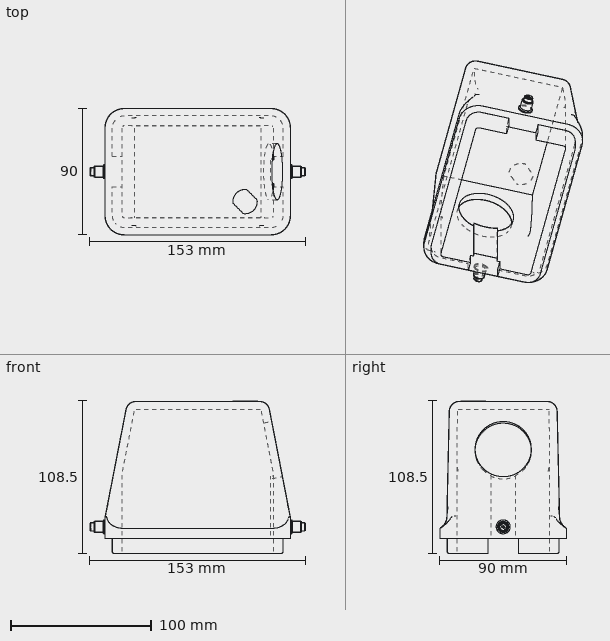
import cadquery as cq
import math

OVERALL_LENGTH = 153.0
PIN_TIP_X = OVERALL_LENGTH / 2
HOOD_TOP = 108.2

TOP_LENGTH = 99.8
TOP_WIDTH = 76.5
END_TAPER = 11.0
SIDE_TAPER = 1.3
HOOD_ROUND = 7.3

FLANGE_LENGTH = 131.9
FLANGE_WIDTH = 90.0
FLANGE_BOTTOM = 10.5
FLANGE_CORNER = 13.9
COVE_FLOOR = 16.8
COVE_RADIUS = 9.0
FOOT_TOLERANCE = 0.2

SKIRT_LENGTH = 121.5
SKIRT_WIDTH = 79.5
SKIRT_CORNER = 9.0
SKIRT_BOTTOM_ROUND = 1.4
SLOT_WIDTH = 21.4

WALL = 6.0
SKIRT_WALL = 6.9
RIB_WIDTH = 17.1
RIB_DEPTH = 2.3
RIB_TOP = 58.1

ENTRY_DIAMETER = 40.0
ENTRY_Z = 74.2

PIN_Z = 19.0
COLLAR_DIAMETER = 10.0
COLLAR_LENGTH = 0.8
COLLAR_CONE = 0.6
SHANK_DIAMETER = 8.0
SHANK_END_DIAMETER = 7.3
SHANK_BEVEL = 0.6
TIP_DIAMETER = 6.0
TIP_LENGTH = 2.9
TIP_CHAMFER = 0.5
DRIVER_SLOT_WIDTH = 1.0
DRIVER_SLOT_DEPTH = 0.8

BADGE_X = 33.7
BADGE_Y = -21.3
BADGE_DIAMETER = 17.3
BADGE_LENGTH = 13.8
BADGE_HEIGHT = 0.3

DIAGONAL = 45.0

END_SLOPE = math.tan(math.radians(END_TAPER))
SIDE_SLOPE = math.tan(math.radians(SIDE_TAPER))


def rounded_prism(length, width, corner, bottom, top):
    """Upright block with rounded vertical corners."""
    block = cq.Workplane("XY").workplane(offset=bottom).rect(length, width).extrude(top - bottom)
    return block.edges("|Z").fillet(corner)


def tapered_block(inset, bottom, top):
    """Four-sided hood shape between two levels, with its walls moved inward by inset."""
    def size_at(z):
        drop = HOOD_TOP - z
        length = TOP_LENGTH + 2 * (drop * END_SLOPE - inset / math.cos(math.radians(END_TAPER)))
        width = TOP_WIDTH + 2 * (drop * SIDE_SLOPE - inset / math.cos(math.radians(SIDE_TAPER)))
        return length, width

    return (
        cq.Workplane("XY").workplane(offset=bottom).rect(*size_at(bottom))
        .workplane(offset=top - bottom).rect(*size_at(top))
        .loft(ruled=True, combine=True)
    )


def make_hood():
    """Rounded hood flowing through a cove into the flange band."""
    hood = tapered_block(0, FLANGE_BOTTOM, HOOD_TOP)
    hood = hood.edges("not <Z").fillet(HOOD_ROUND)

    slab = cq.Workplane("XY").box(
        2 * FLANGE_LENGTH, 2 * FLANGE_WIDTH, COVE_FLOOR - FLANGE_BOTTOM, centered=(True, True, False)
    ).translate((0, 0, FLANGE_BOTTOM))
    joined = hood.union(slab)
    reach = (OVERALL_LENGTH / 2, FLANGE_WIDTH / 2)
    foot = cq.selectors.BoxSelector(
        (-reach[0], -reach[1], COVE_FLOOR - FOOT_TOLERANCE),
        (reach[0], reach[1], COVE_FLOOR + FOOT_TOLERANCE),
        boundingbox=True,
    )
    joined = joined.edges(foot).fillet(COVE_RADIUS)
    outline = rounded_prism(FLANGE_LENGTH, FLANGE_WIDTH, FLANGE_CORNER, FLANGE_BOTTOM, HOOD_TOP)
    return joined.intersect(outline)


def make_skirt():
    """Plug skirt with a rounded bottom rim."""
    skirt = rounded_prism(SKIRT_LENGTH, SKIRT_WIDTH, SKIRT_CORNER, 0, FLANGE_BOTTOM)
    return skirt.faces("<Z").edges().fillet(SKIRT_BOTTOM_ROUND)


def make_cavity():
    """Interior that is straight at the mouth and follows the tapered walls above."""
    cavity_top = HOOD_TOP - WALL
    mouth_length = SKIRT_LENGTH - 2 * SKIRT_WALL
    mouth_width = SKIRT_WIDTH - 2 * SKIRT_WALL
    mouth = rounded_prism(mouth_length, mouth_width, SKIRT_CORNER - SKIRT_WALL, 0, cavity_top)
    rib = cq.Workplane("XY").box(
        2 * RIB_DEPTH, RIB_WIDTH, RIB_TOP - FLANGE_BOTTOM, centered=(True, True, False)
    ).translate((mouth_length / 2, 0, FLANGE_BOTTOM))
    return mouth.intersect(tapered_block(WALL, 0, cavity_top)).cut(rib)


def make_end_slots():
    """Slot cut through both ends of the skirt, up to the flange."""
    return cq.Workplane("XY").box(SKIRT_LENGTH, SLOT_WIDTH, FLANGE_BOTTOM, centered=(True, True, False))


def make_cable_entry():
    """Bore through the +X end wall, square to its slope."""
    wall_x = TOP_LENGTH / 2 + (HOOD_TOP - ENTRY_Z) * END_SLOPE
    tilt = math.radians(END_TAPER)
    outward = cq.Vector(math.cos(tilt), 0, math.sin(tilt))
    reach = 3 * WALL
    start = cq.Vector(wall_x, 0, ENTRY_Z) - outward * reach
    return cq.Workplane(cq.Solid.makeCylinder(ENTRY_DIAMETER / 2, 2 * reach, start, outward))


def make_pin():
    """Stepped pin standing on the +X face of the flange, with a diagonal driver slot."""
    root = FLANGE_LENGTH / 2
    buried = root - WALL
    collar_end = root + COLLAR_LENGTH
    tip_start = PIN_TIP_X - TIP_LENGTH
    pin = (
        cq.Workplane("XZ")
        .moveTo(buried, 0)
        .lineTo(buried, COLLAR_DIAMETER / 2)
        .lineTo(collar_end, COLLAR_DIAMETER / 2)
        .lineTo(collar_end + COLLAR_CONE, SHANK_DIAMETER / 2)
        .lineTo(tip_start - SHANK_BEVEL, SHANK_DIAMETER / 2)
        .lineTo(tip_start, SHANK_END_DIAMETER / 2)
        .lineTo(tip_start, TIP_DIAMETER / 2)
        .lineTo(PIN_TIP_X - TIP_CHAMFER, TIP_DIAMETER / 2)
        .lineTo(PIN_TIP_X, TIP_DIAMETER / 2 - TIP_CHAMFER)
        .lineTo(PIN_TIP_X, 0)
        .close()
        .revolve(360, (0, 0, 0), (1, 0, 0))
    )
    driver_slot = (
        cq.Workplane("XY").box(2 * DRIVER_SLOT_DEPTH, DRIVER_SLOT_WIDTH, SHANK_DIAMETER)
        .rotate((0, 0, 0), (1, 0, 0), DIAGONAL)
        .translate((PIN_TIP_X, 0, 0))
    )
    return pin.cut(driver_slot).translate((0, 0, PIN_Z))


def make_badge():
    """Round pad with two parallel flats, turned to lie diagonally on the roof."""
    disc = cq.Workplane("XY").circle(BADGE_DIAMETER / 2).extrude(2 * BADGE_HEIGHT)
    flats = cq.Workplane("XY").box(BADGE_LENGTH, BADGE_DIAMETER, 4 * BADGE_HEIGHT)
    pad = disc.intersect(flats).rotate((0, 0, 0), (0, 0, 1), DIAGONAL)
    return pad.translate((BADGE_X, BADGE_Y, HOOD_TOP - BADGE_HEIGHT))


result = make_hood().union(make_skirt())
result = result.cut(make_cavity())
result = result.cut(make_end_slots())
result = result.cut(make_cable_entry())
for turn in (0, 180):
    result = result.union(make_pin().rotate((0, 0, 0), (0, 0, 1), turn))
result = result.union(make_badge())